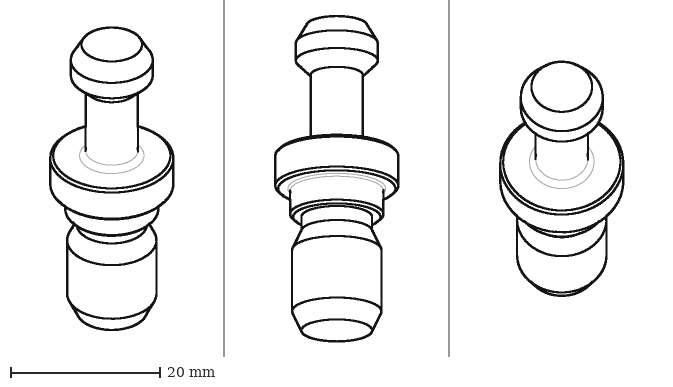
import cadquery as cq
import math

TOTAL_HEIGHT = 43.0

THREAD_DIAMETER = 12.0
NECK_DIAMETER = 9.5
THREAD_TOP = 14.0
THREAD_TAPER_ANGLE = 25.0

PILOT_DIAMETER = 12.5
PILOT_BOTTOM = 16.0
PILOT_FILLET = 0.3

FLANGE_DIAMETER = 16.5
FLANGE_BOTTOM = 20.0
FLANGE_TOP = 25.03
EDGE_CHAMFER = 0.4

SHANK_DIAMETER = 7.0
SHANK_FILLET = 0.8
HEAD_DIAMETER = 11.0
HEAD_LAND_HEIGHT = 2.5
HEAD_TAPER_HEIGHT = 2.5
HEAD_TAPER_ANGLE = 30.0

thread_radius = THREAD_DIAMETER / 2
neck_radius = NECK_DIAMETER / 2
pilot_radius = PILOT_DIAMETER / 2
flange_radius = FLANGE_DIAMETER / 2
shank_radius = SHANK_DIAMETER / 2
head_radius = HEAD_DIAMETER / 2

thread_taper_height = (thread_radius - neck_radius) / math.tan(math.radians(THREAD_TAPER_ANGLE))
head_tip_radius = head_radius - HEAD_TAPER_HEIGHT * math.tan(math.radians(HEAD_TAPER_ANGLE))
head_land_top = TOTAL_HEIGHT - HEAD_TAPER_HEIGHT
head_land_bottom = head_land_top - HEAD_LAND_HEIGHT
shank_top = head_land_bottom - (head_radius - shank_radius)


def corner_arc_point(center_r, center_z, radius, z_direction):
    """Middle of a quarter arc facing the axis, above (+1) or below (-1) its centre."""
    offset = radius * math.sqrt(0.5)
    return (center_r - offset, center_z + z_direction * offset)


pilot_fillet_middle = corner_arc_point(
    pilot_radius + PILOT_FILLET, FLANGE_BOTTOM - PILOT_FILLET, PILOT_FILLET, 1
)
shank_fillet_middle = corner_arc_point(
    shank_radius + SHANK_FILLET, FLANGE_TOP + SHANK_FILLET, SHANK_FILLET, -1
)

profile = (
    cq.Workplane("XZ")
    .moveTo(0, 0)
    .lineTo(neck_radius, 0)
    .lineTo(thread_radius, thread_taper_height)
    .lineTo(thread_radius, THREAD_TOP - thread_taper_height)
    .lineTo(neck_radius, THREAD_TOP)
    .lineTo(neck_radius, PILOT_BOTTOM)
    .lineTo(pilot_radius - EDGE_CHAMFER, PILOT_BOTTOM)
    .lineTo(pilot_radius, PILOT_BOTTOM + EDGE_CHAMFER)
    .lineTo(pilot_radius, FLANGE_BOTTOM - PILOT_FILLET)
    .threePointArc(pilot_fillet_middle, (pilot_radius + PILOT_FILLET, FLANGE_BOTTOM))
    .lineTo(flange_radius - EDGE_CHAMFER, FLANGE_BOTTOM)
    .lineTo(flange_radius, FLANGE_BOTTOM + EDGE_CHAMFER)
    .lineTo(flange_radius, FLANGE_TOP - EDGE_CHAMFER)
    .lineTo(flange_radius - EDGE_CHAMFER, FLANGE_TOP)
    .lineTo(shank_radius + SHANK_FILLET, FLANGE_TOP)
    .threePointArc(shank_fillet_middle, (shank_radius, FLANGE_TOP + SHANK_FILLET))
    .lineTo(shank_radius, shank_top)
    .lineTo(head_radius, head_land_bottom)
    .lineTo(head_radius, head_land_top)
    .lineTo(head_tip_radius, TOTAL_HEIGHT)
    .lineTo(0, TOTAL_HEIGHT)
    .close()
)

result = profile.revolve(360, (0, 0, 0), (0, 1, 0))